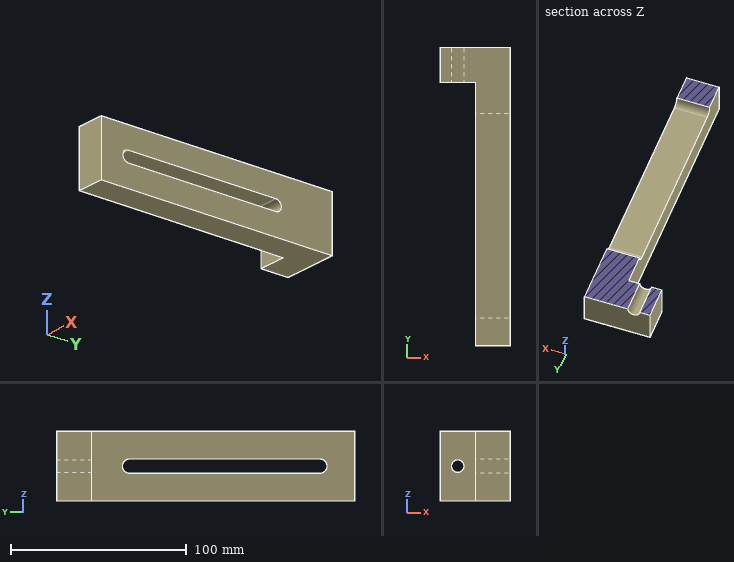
import cadquery as cq

length = 170.0
width = 40.0
height = 40.0
thickness = width / 2

slot_length = 116.5
slot_width = 8.0
slot_end_gap = 16.0

hole_diameter = 7.0


def make_body():
    """L-shaped bar: main leg along Y, short leg pointing to -X at the +Y end."""
    return (
        cq.Workplane("XY")
        .moveTo(thickness, 0)
        .lineTo(width, 0)
        .lineTo(width, length)
        .lineTo(0, length)
        .lineTo(0, length - thickness)
        .lineTo(thickness, length - thickness)
        .close()
        .extrude(height)
    )


def make_slot():
    """Round-ended slot along Y, cutting through the main leg in X."""
    return (
        cq.Workplane("YZ")
        .center(slot_end_gap + slot_length / 2, height / 2)
        .slot2D(slot_length, slot_width)
        .extrude(width)
    )


def make_hole():
    """Hole along Y, centred on the face of the short leg."""
    return (
        cq.Workplane("XZ")
        .center(thickness / 2, height / 2)
        .circle(hole_diameter / 2)
        .extrude(-length)
    )


result = make_body().cut(make_slot()).cut(make_hole())